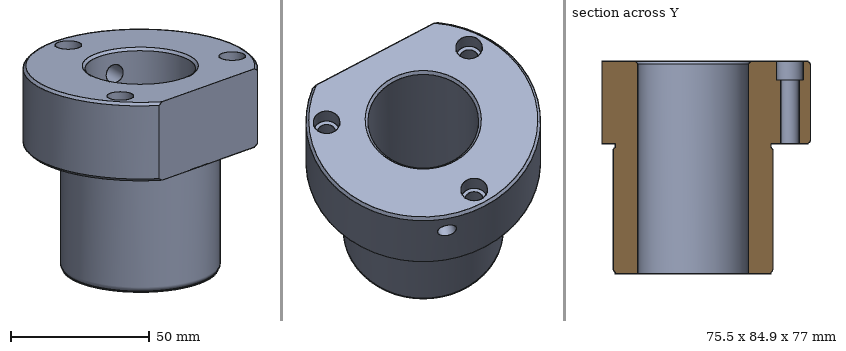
import cadquery as cq

flange_diameter = 84.9
flange_height = 30.0
total_height = 77.0
flat_distance = 33.0
flange_chamfer = 1.0

spigot_diameter = 58.0
spigot_edge_radius = 2.0
relief_diameter = 56.5
relief_height = 1.3
relief_chamfer = 0.7

bore_diameter = 40.0
bore_chamfer = 1.0

screw_count = 3
first_screw_angle = 180.0
screw_circle_radius = 35.0
screw_diameter = 6.6
counterbore_diameter = 9.6
counterbore_depth = 6.8

side_hole_diameter = 7.0
side_hole_angle = 20.0
side_hole_drop = 9.0

spigot_height = total_height - flange_height


def make_flange():
    disc = (
        cq.Workplane("XY")
        .workplane(offset=spigot_height)
        .circle(flange_diameter / 2)
        .extrude(flange_height)
        .edges()
        .chamfer(flange_chamfer)
    )
    beyond_flat = (
        cq.Workplane("XY")
        .box(flange_diameter, 2 * flange_diameter, 2 * total_height, centered=(False, True, True))
        .translate((flat_distance, 0, 0))
    )
    return disc.cut(beyond_flat)


def make_spigot():
    sleeve = (
        cq.Workplane("XY")
        .circle(spigot_diameter / 2)
        .extrude(spigot_height - relief_height)
        .faces("<Z")
        .edges()
        .fillet(spigot_edge_radius)
        .faces(">Z")
        .edges()
        .chamfer(relief_chamfer)
    )
    neck = cq.Workplane("XY").circle(relief_diameter / 2).extrude(spigot_height)
    return sleeve.union(neck)


def cut_bore(body):
    bored = body.faces(">Z").workplane(origin=(0, 0, 0)).circle(bore_diameter / 2).cutThruAll()
    smallest_circle = cq.selectors.RadiusNthSelector(0)
    return bored.faces(">Z").edges(smallest_circle).chamfer(bore_chamfer)


def cut_screw_holes(body):
    return (
        body.faces(">Z")
        .workplane(origin=(0, 0, 0))
        .polarArray(screw_circle_radius, first_screw_angle, 360, screw_count)
        .cboreHole(screw_diameter, counterbore_diameter, counterbore_depth)
    )


def cut_side_hole(body):
    drill = (
        cq.Workplane("YZ")
        .center(0, total_height - side_hole_drop)
        .circle(side_hole_diameter / 2)
        .extrude(-flange_diameter)
        .rotate((0, 0, 0), (0, 0, 1), -side_hole_angle)
    )
    return body.cut(drill)


result = make_flange().union(make_spigot())
result = cut_bore(result)
result = cut_screw_holes(result)
result = cut_side_hole(result)